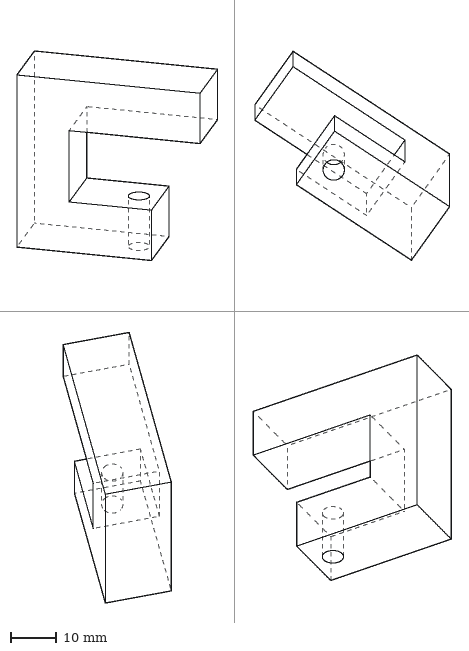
import cadquery as cq

length = 42.0
width = 15.0
height = 41.0

wall = 12.0
lower_arm_length = 30.85

hole_diameter = 4.7
hole_end_distance = 4.9


def bracket_body():
    """C profile in the XZ plane, with its outer back corner at the origin."""
    outline = [
        (0, 0),
        (lower_arm_length, 0),
        (lower_arm_length, wall),
        (wall, wall),
        (wall, height - wall),
        (length, height - wall),
        (length, height),
        (0, height),
    ]
    return cq.Workplane("XZ").polyline(outline).close().extrude(-width)


def lower_arm_hole():
    """Cylinder that passes through the lower arm only."""
    hole_x = lower_arm_length - hole_end_distance
    return (
        cq.Workplane("XY")
        .center(hole_x, width / 2)
        .circle(hole_diameter / 2)
        .extrude(wall)
    )


result = bracket_body().cut(lower_arm_hole())